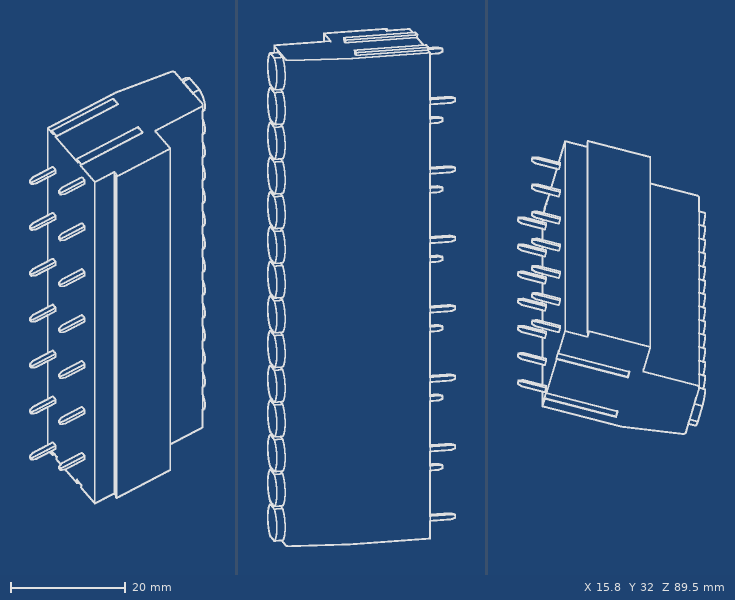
import cadquery as cq


pole_count = 14
pitch = 6.35
housing_length = pole_count * pitch
housing_depth = 25.5
housing_width = 15.85
tower_left = 1.6
tower_right = 11.05
slope_start = 14.4
shelf_height = 15.2
foot_width = 14.75
foot_height = 4.1
lip_width = 0.3
lip_drop = 0.25
tower_fillet = 0.5

screw_diameter = 6.6
screw_flat_width = 5.85
screw_height = 1.5
screw_x = 5.95

pin_length = 5.0
pin_size = 0.9
pin_tip_length = 0.8
pin_tip_size = 0.5
pin_rows_x = (2.05, 11.15)

dovetail_centers_x = (2.05, 9.8)
dovetail_length = 12.95
rib_height = 0.6
rib_base_width = 0.75
rib_outer_width = 1.5
groove_depth = 0.8
groove_mouth_width = 1.1
groove_inner_width = 1.5


def make_housing():
    outline = [
        (0, 0),
        (foot_width, 0),
        (foot_width, foot_height),
        (housing_width - lip_width, foot_height),
        (housing_width - lip_width, foot_height - lip_drop),
        (housing_width, foot_height - lip_drop),
        (housing_width, shelf_height),
        (tower_right, shelf_height),
        (tower_right, housing_depth),
        (tower_left, housing_depth),
        (0, slope_start),
    ]
    housing = cq.Workplane("XY").polyline(outline).close().extrude(housing_length)
    return housing.faces(">Y").edges("|Z").fillet(tower_fillet)


def make_screw(z):
    seat = cq.Workplane("XZ", origin=(screw_x, housing_depth, z))
    collar = seat.circle(screw_diameter / 2).extrude(-screw_height)
    flats = seat.rect(screw_diameter, screw_flat_width).extrude(-screw_height)
    return collar.intersect(flats)


def make_pin(x, z):
    shank_length = pin_length - pin_tip_length
    shank = cq.Workplane("XZ", origin=(x, 0, z)).rect(pin_size, pin_size).extrude(shank_length)
    tip = (
        cq.Workplane("XZ", origin=(x, -shank_length, z))
        .rect(pin_size, pin_size)
        .workplane(offset=pin_tip_length)
        .rect(pin_tip_size, pin_tip_size)
        .loft()
    )
    return shank.union(tip)


def make_dovetail(x, z, lower_width, upper_width, height):
    """Dovetail bar along Y whose cross section widens from z upward."""
    section = [
        (x - lower_width / 2, z),
        (x + lower_width / 2, z),
        (x + upper_width / 2, z + height),
        (x - upper_width / 2, z + height),
    ]
    return cq.Workplane("XZ").polyline(section).close().extrude(-dovetail_length)


result = make_housing()
for center_x in dovetail_centers_x:
    result = result.union(make_dovetail(center_x, housing_length, rib_base_width, rib_outer_width, rib_height))
    result = result.cut(make_dovetail(center_x, 0, groove_mouth_width, groove_inner_width, groove_depth))
for pole in range(pole_count):
    pole_z = (pole + 0.5) * pitch
    result = result.union(make_screw(pole_z))
    result = result.union(make_pin(pin_rows_x[pole % 2], pole_z))